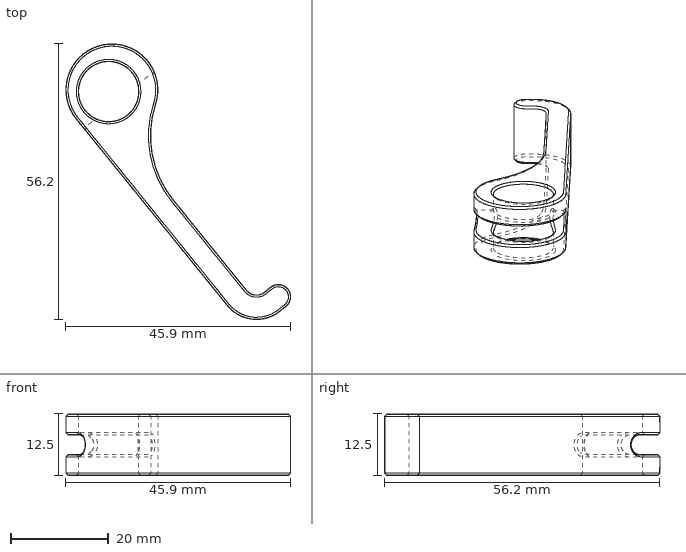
import cadquery as cq
import math

arm_angle = -51
height = 12.5
head_radius = 9.4
arm_thickness = 5.0
neck_radius = 20.8

hook_center_x = 49.0
hook_outer_radius = 7.65
tip_length = 1.6

hole_diameter = 12.25
hole_x = -0.15
hole_y = -0.75

slot_width = 4.05
slot_end_x = 2.5
edge_chamfer = 0.45

outer_y = -head_radius
inner_y = outer_y + arm_thickness
hook_inner_radius = hook_outer_radius - arm_thickness
hook_center = (hook_center_x, outer_y + hook_outer_radius)


def polar(center, radius, angle):
    """Point at a radius and an angle in degrees from a centre."""
    turn = math.radians(angle)
    return (center[0] + radius * math.cos(turn), center[1] + radius * math.sin(turn))


def make_body():
    """Head, tapering neck, straight arm and hooked end as one extrusion."""
    neck_y = inner_y + neck_radius
    neck_x = math.sqrt((head_radius + neck_radius) ** 2 - neck_y**2)
    neck_angle = math.degrees(math.atan2(neck_y, neck_x))
    neck_start = polar((0, 0), head_radius, neck_angle)
    neck_middle = polar((neck_x, neck_y), neck_radius, (neck_angle + 180 + 270) / 2)

    outer_x = hook_center_x + hook_outer_radius
    inner_x = hook_center_x + hook_inner_radius
    bend_y = hook_center[1]
    tip_y = bend_y + tip_length
    tip_top = ((outer_x + inner_x) / 2, tip_y + arm_thickness / 2)

    return (
        cq.Workplane("XY")
        .moveTo(0, outer_y)
        .lineTo(hook_center_x, outer_y)
        .threePointArc(polar(hook_center, hook_outer_radius, -45), (outer_x, bend_y))
        .lineTo(outer_x, tip_y)
        .threePointArc(tip_top, (inner_x, tip_y))
        .lineTo(inner_x, bend_y)
        .threePointArc(polar(hook_center, hook_inner_radius, -45), (hook_center_x, inner_y))
        .lineTo(neck_x, inner_y)
        .threePointArc(neck_middle, neck_start)
        .threePointArc((-head_radius, 0), (0, outer_y))
        .close()
        .extrude(height)
    )


def make_hole():
    """Off-centre pivot bore through the head."""
    return cq.Workplane("XY").center(hole_x, hole_y).circle(hole_diameter / 2).extrude(height)


def make_slot():
    """Slot across the head, open at the head end and round at the arm end."""
    half_width = slot_width / 2
    open_x = -2 * head_radius
    round_x = slot_end_x - half_width
    return (
        cq.Workplane("XZ")
        .moveTo(open_x, height / 2 - half_width)
        .lineTo(round_x, height / 2 - half_width)
        .threePointArc((slot_end_x, height / 2), (round_x, height / 2 + half_width))
        .lineTo(open_x, height / 2 + half_width)
        .close()
        .extrude(2 * head_radius, both=True)
    )


lever = make_body().cut(make_hole()).cut(make_slot())

lever = lever.edges("not(|Z or |Y)").chamfer(edge_chamfer)

result = lever.rotate((0, 0, 0), (0, 0, 1), arm_angle)